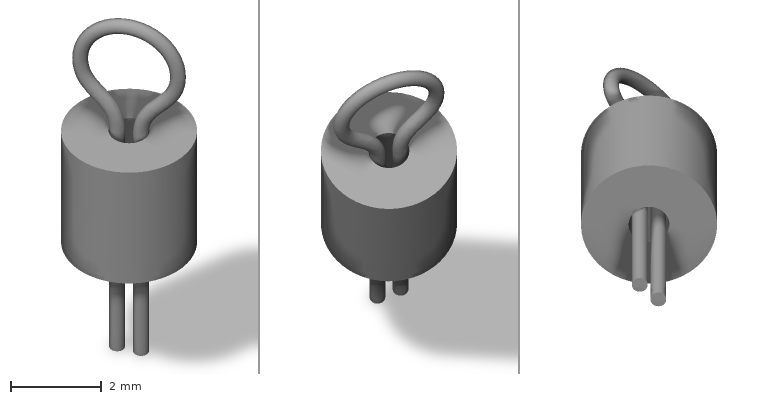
import cadquery as cq

SLEEVE_DIAMETER = 3.0
BORE_DIAMETER = 0.9
SLEEVE_BOTTOM = 3.0
SLEEVE_TOP = 6.1

TOTAL_HEIGHT = 9.17
WIRE_DIAMETER = 0.35
LOOP_OUTER_DIAMETER = 2.6

wire_radius = WIRE_DIAMETER / 2
leg_offset = BORE_DIAMETER / 2 - wire_radius
loop_radius = LOOP_OUTER_DIAMETER / 2 - wire_radius
loop_center_height = TOTAL_HEIGHT - LOOP_OUTER_DIAMETER / 2


def make_sleeve():
    return (
        cq.Workplane("XY", origin=(0, 0, SLEEVE_BOTTOM))
        .circle(SLEEVE_DIAMETER / 2)
        .circle(BORE_DIAMETER / 2)
        .extrude(SLEEVE_TOP - SLEEVE_BOTTOM)
    )


def make_wire():
    up = (0, 1)
    down = (0, -1)
    center_line = (
        cq.Workplane("XZ")
        .moveTo(-leg_offset, 0)
        .lineTo(-leg_offset, SLEEVE_TOP)
        .spline([(-loop_radius, loop_center_height)], tangents=[up, up], includeCurrent=True)
        .threePointArc((0, loop_center_height + loop_radius), (loop_radius, loop_center_height))
        .spline([(leg_offset, SLEEVE_TOP)], tangents=[down, down], includeCurrent=True)
        .lineTo(leg_offset, 0)
    )
    return cq.Workplane("XY", origin=(-leg_offset, 0, 0)).circle(wire_radius).sweep(center_line)


sleeve = make_sleeve()
wire = make_wire()

result = cq.Compound.makeCompound([sleeve.val(), wire.val()])